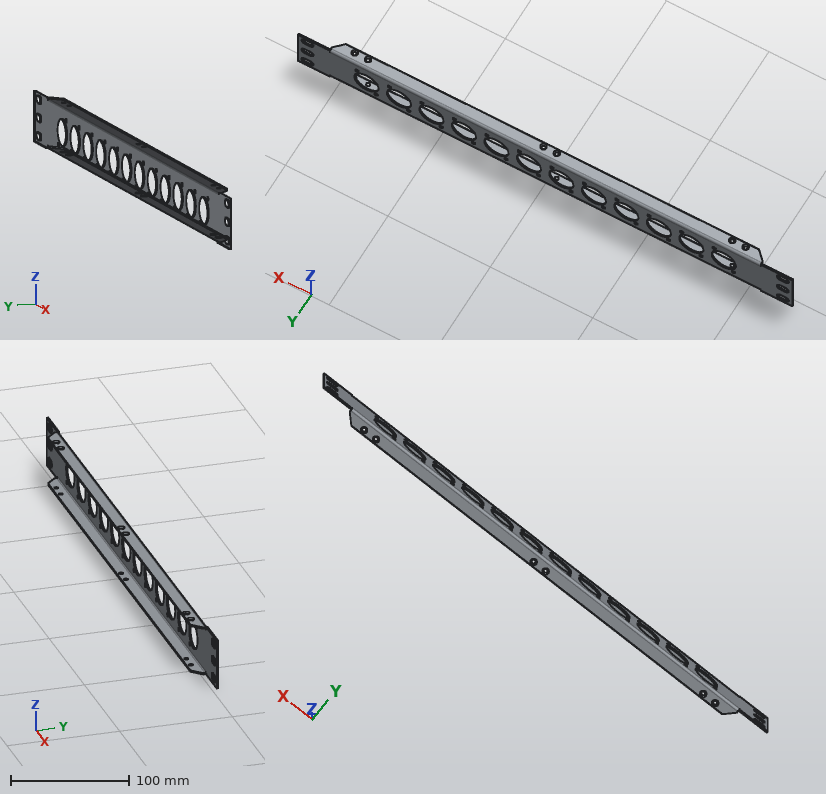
import cadquery as cq

PANEL_LENGTH = 482.5
PANEL_HEIGHT = 44.0
DEPTH = 12.5
THICKNESS = 1.5
BEND_INNER_RADIUS = 1.0
BEND_OUTER_RADIUS = BEND_INNER_RADIUS + THICKNESS

FLANGE_LENGTH = 421.0
FLANGE_CORNER_LENGTH = 8.5
FLANGE_CORNER_DEPTH = 8.5

SLOT_SPAN = 464.5
SLOT_PITCH = 16.0
SLOT_LENGTH = 11.5
SLOT_HEIGHT = 6.8

CONNECTOR_COUNT = 12
CONNECTOR_SPAN = 349.0
CONNECTOR_PITCH = CONNECTOR_SPAN / (CONNECTOR_COUNT - 1)
CONNECTOR_DIAMETER = 23.5
CONNECTOR_Z = -1.5
SCREW_SPACING_X = 19.0
SCREW_SPACING_Z = 24.0
SCREW_DIAMETER = 3.2

FLANGE_HOLE_DIAMETER = 3.2
COUNTERSINK_DIAMETER = 6.0
COUNTERSINK_ANGLE = 90
FLANGE_PAIR_PITCH = 184.5
FLANGE_PAIR_GAP = 13.0
FLANGE_HOLE_EDGE_DISTANCE = 4.0

REAR_Y = DEPTH / 2
FRONT_Y = -DEPTH / 2


def front_sketch():
    """Workplane on the rear face, with X right, Z up and extrusion toward the front."""
    return cq.Workplane("XZ", origin=(0, REAR_Y, 0))


def make_panel():
    return front_sketch().rect(PANEL_LENGTH, PANEL_HEIGHT).extrude(THICKNESS)


def make_channel():
    """U-shaped channel with rounded bends, its flange corners cut at an angle."""
    inner_height = PANEL_HEIGHT - 2 * THICKNESS
    outer = (
        front_sketch()
        .rect(FLANGE_LENGTH, PANEL_HEIGHT)
        .extrude(DEPTH)
        .edges("|X and >Y")
        .fillet(BEND_OUTER_RADIUS)
    )
    inner = (
        cq.Workplane("XZ", origin=(0, REAR_Y - THICKNESS, 0))
        .rect(FLANGE_LENGTH, inner_height)
        .extrude(DEPTH)
        .edges("|X and >Y")
        .fillet(BEND_INNER_RADIUS)
    )
    half_length = FLANGE_LENGTH / 2
    corner_y = FRONT_Y + FLANGE_CORNER_DEPTH
    outline = (
        cq.Workplane("XY", origin=(0, 0, -PANEL_HEIGHT / 2))
        .moveTo(-half_length, REAR_Y)
        .lineTo(half_length, REAR_Y)
        .lineTo(half_length, corner_y)
        .lineTo(half_length - FLANGE_CORNER_LENGTH, FRONT_Y)
        .lineTo(-half_length + FLANGE_CORNER_LENGTH, FRONT_Y)
        .lineTo(-half_length, corner_y)
        .close()
        .extrude(PANEL_HEIGHT)
    )
    return outer.cut(inner).intersect(outline)


def make_bend_clearance():
    """Full-height block that removes the flat panel where the channel replaces it."""
    return front_sketch().rect(FLANGE_LENGTH, PANEL_HEIGHT).extrude(THICKNESS)


def make_slots():
    centers = [
        (side * SLOT_SPAN / 2, row * SLOT_PITCH)
        for side in (-1, 1)
        for row in (-1, 0, 1)
    ]
    return front_sketch().pushPoints(centers).slot2D(SLOT_LENGTH, SLOT_HEIGHT).extrude(THICKNESS)


def make_connector_cutouts():
    centers = [
        (-CONNECTOR_SPAN / 2 + index * CONNECTOR_PITCH, CONNECTOR_Z)
        for index in range(CONNECTOR_COUNT)
    ]
    screws = [
        (x + side * SCREW_SPACING_X / 2, z + side * SCREW_SPACING_Z / 2)
        for x, z in centers
        for side in (-1, 1)
    ]
    openings = front_sketch().pushPoints(centers).circle(CONNECTOR_DIAMETER / 2).extrude(THICKNESS)
    screw_holes = front_sketch().pushPoints(screws).circle(SCREW_DIAMETER / 2).extrude(THICKNESS)
    return openings.union(screw_holes)


def cut_flange_holes(body):
    """Drill both flanges, countersinking every hole from the outer face."""
    hole_y = FRONT_Y + FLANGE_HOLE_EDGE_DISTANCE
    hole_xs = [
        pair * FLANGE_PAIR_PITCH + side * FLANGE_PAIR_GAP / 2
        for pair in (-1, 0, 1)
        for side in (-1, 1)
    ]
    for outward in (-1, 1):
        outer_face = cq.Plane(
            origin=(0, 0, outward * PANEL_HEIGHT / 2),
            xDir=(1, 0, 0),
            normal=(0, 0, outward),
        )
        centers = [(x, outward * hole_y) for x in hole_xs]
        body = (
            body.copyWorkplane(cq.Workplane(outer_face))
            .pushPoints(centers)
            .cskHole(FLANGE_HOLE_DIAMETER, COUNTERSINK_DIAMETER, COUNTERSINK_ANGLE, depth=THICKNESS)
        )
    return body


panel = (
    make_panel()
    .cut(make_bend_clearance())
    .union(make_channel())
    .cut(make_slots())
    .cut(make_connector_cutouts())
)
result = cut_flange_holes(panel)